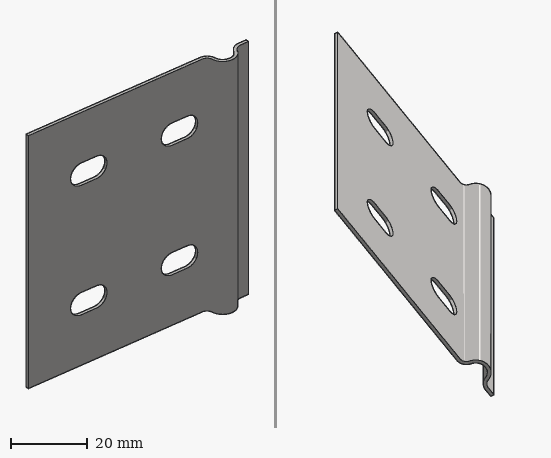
import cadquery as cq
import math

height = 80.0
depth = 72.0
width = 6.0
thickness = 1.0

flange_offset = 1.0
bead_outer_radius = 4.0
bead_inner_radius = bead_outer_radius - thickness
plate_bend_radius = 3.0
flange_bend_radius = 3.5
bead_from_edge = 8.6

slot_length = 12.0
slot_width = 7.0
slot_spacing_y = 30.0
slot_spacing_z = 41.0
first_slot_from_edge = 22.0

edge_y = depth / 2
bead_x = width - bead_outer_radius
bead_y = edge_y - bead_from_edge


def bend_center(face_x, bend_radius, side):
    """Center of a bend tangent to a flat face and the bead; side is +1 or -1 along Y."""
    center_x = face_x + bend_radius
    reach = bend_radius + bead_inner_radius
    return center_x, bead_y + side * math.sqrt(reach**2 - (center_x - bead_x) ** 2)


def toward(center, target, distance):
    """Point at a given distance from center in the direction of target."""
    dx = target[0] - center[0]
    dy = target[1] - center[1]
    scale = distance / math.hypot(dx, dy)
    return center[0] + dx * scale, center[1] + dy * scale


def bend_points(center, radius):
    """Flat-side tangent, midpoint and bead-side tangent of a bend arc."""
    bead_center = (bead_x, bead_y)
    flat_end = (center[0] - radius, center[1])
    bead_end = toward(center, bead_center, radius)
    chord_middle = ((flat_end[0] + bead_end[0]) / 2, (flat_end[1] + bead_end[1]) / 2)
    return flat_end, toward(center, chord_middle, radius), bead_end


def make_sheet():
    """Constant-thickness bent profile extruded to the full height."""
    plate_center = bend_center(0, plate_bend_radius, -1)
    flange_center = bend_center(flange_offset, flange_bend_radius, 1)

    plate_a, plate_mid_a, bead_low_a = bend_points(plate_center, plate_bend_radius)
    flange_a, flange_mid_a, bead_high_a = bend_points(flange_center, flange_bend_radius)

    plate_b, plate_mid_b, bead_low_b = bend_points(plate_center, plate_bend_radius - thickness)
    flange_b, flange_mid_b, bead_high_b = bend_points(flange_center, flange_bend_radius - thickness)

    return (
        cq.Workplane("XY", origin=(0, 0, -height / 2))
        .moveTo(0, -depth / 2)
        .lineTo(*plate_a)
        .threePointArc(plate_mid_a, bead_low_a)
        .threePointArc((bead_x + bead_inner_radius, bead_y), bead_high_a)
        .threePointArc(flange_mid_a, flange_a)
        .lineTo(flange_offset, edge_y)
        .lineTo(flange_offset + thickness, edge_y)
        .lineTo(*flange_b)
        .threePointArc(flange_mid_b, bead_high_b)
        .threePointArc((width, bead_y), bead_low_b)
        .threePointArc(plate_mid_b, plate_b)
        .lineTo(thickness, -depth / 2)
        .close()
        .extrude(height)
    )


def make_slots():
    """Four round-ended slots through the flat plate, long along Y."""
    slot_middle_y = edge_y - first_slot_from_edge - slot_spacing_y / 2
    return (
        cq.Workplane("YZ", origin=(0, slot_middle_y, 0))
        .rarray(slot_spacing_y, slot_spacing_z, 2, 2)
        .slot2D(slot_length, slot_width)
        .extrude(thickness)
    )


result = make_sheet().cut(make_slots())